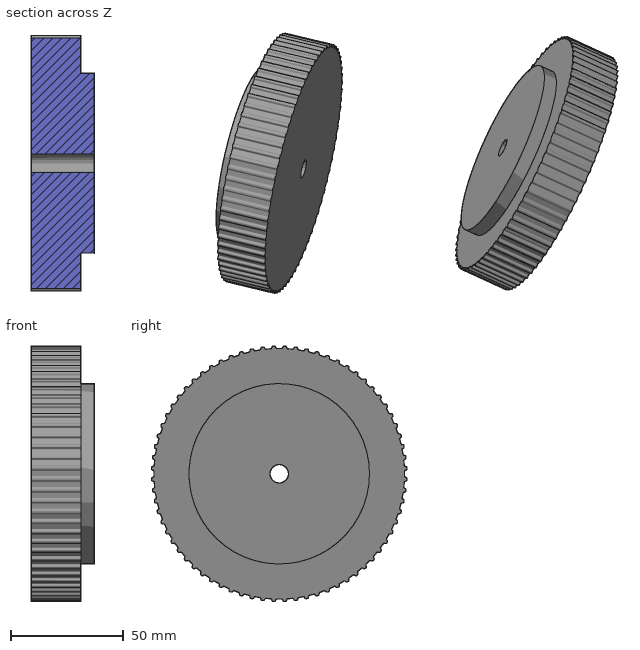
import cadquery as cq
import math

tooth_count = 72
outer_size = 113.3
tip_overshoot = 0.09
tip_diameter = outer_size + tip_overshoot
tip_radius = tip_diameter / 2
tooth_depth = 1.1
root_radius = tip_radius - tooth_depth
gap_floor_width = 2.6
gap_flank_angle = 25.0
tip_fillet = 0.7
root_fillet = 0.4
toothed_width = 22.0
hub_diameter = 80.0
hub_length = 6.0
bore_diameter = 8.0
total_length = toothed_width + hub_length


def cylinder(diameter, length, start=0):
    return cq.Workplane("YZ", origin=(start, 0, 0)).circle(diameter / 2).extrude(length)


def polar(radius, angle):
    return (radius * math.cos(angle), radius * math.sin(angle))


def flank_points():
    """Root and tip corner of one gap flank, as polar angles from the gap centreline."""
    slope = math.tan(math.radians(gap_flank_angle))
    half_floor = gap_floor_width / 2
    half_mouth = half_floor + slope * tooth_depth
    return math.asin(half_floor / root_radius), math.asin(half_mouth / tip_radius)


def toothed_rim():
    """Wheel outline with trapezoidal gaps, one gap centred on the +Y axis."""
    pitch = 2 * math.pi / tooth_count
    root_angle, tip_angle = flank_points()
    outline = cq.Workplane("YZ").moveTo(*polar(root_radius, -root_angle))
    for index in range(tooth_count):
        centre = index * pitch
        outline = outline.threePointArc(
            polar(root_radius, centre), polar(root_radius, centre + root_angle)
        )
        outline = outline.lineTo(*polar(tip_radius, centre + tip_angle))
        outline = outline.threePointArc(
            polar(tip_radius, centre + pitch / 2),
            polar(tip_radius, centre + pitch - tip_angle),
        )
        if index < tooth_count - 1:
            outline = outline.lineTo(*polar(root_radius, centre + pitch - root_angle))
    return outline.close().extrude(toothed_width)


def round_tooth_corners(rim):
    """Round the long corner edges at the tip and root of every tooth."""
    middle_radius = (root_radius + tip_radius) / 2
    tip_edges = []
    root_edges = []
    for edge in rim.edges("|X").vals():
        centre = edge.Center()
        if math.hypot(centre.y, centre.z) > middle_radius:
            tip_edges.append(edge)
        else:
            root_edges.append(edge)
    solid = rim.val().fillet(tip_fillet, tip_edges)
    return rim.newObject([solid.fillet(root_fillet, root_edges)])


wheel = round_tooth_corners(toothed_rim())
hub = cylinder(hub_diameter, hub_length, toothed_width)
bore = cylinder(bore_diameter, total_length)

result = wheel.union(hub).cut(bore)